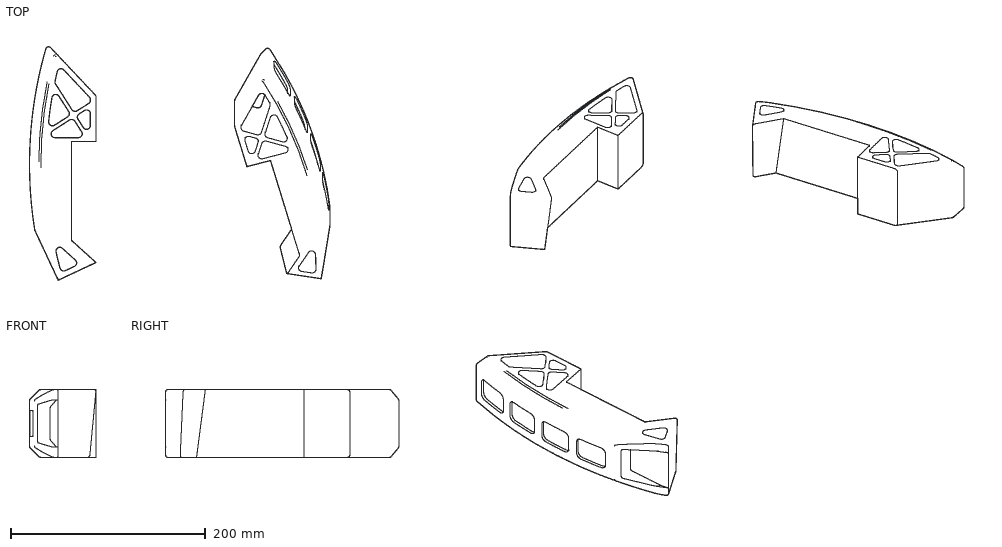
import cadquery as cq
import math

HEIGHT = 70.0
OUTER_RADIUS = 428.0
BOW_Y = 119.0
BACK_X = 68.41
GRIP_X = 43.3
BLOCK_BOTTOM_Y = 142.3
BLOCK_TOP_Y = 189.33
TOP_SLOPE = 46.7
GRIP_BOTTOM_Y = 41.0
FOOT_TIP_X = 29.5
FOOT_TILT = 25.1
FOOT_BACK_SLOPE = 42.2
FOOT_BACK_DRAFT = 5.5

CHAMFER = 10.5
EDGE_RADIUS = 3.0

HOLE_RADIUS = 3.8
BOW_WALL = 17.5
WALL = 6.0
BLOCK_FLOOR = 4.2
FOOT_BACK_WALL = 12.5
STRUT_WIDTH = 4.0
STRUT_CROSSING = (45.1, 169.2)
STRUT_ANGLE = 32.5

PAD_COUNT = 4
PAD_LENGTH = 34.7
PAD_HEIGHT = 27.0
PAD_RADIUS = 5.5
PAD_DEPTH = 3.0
PAD_PITCH = 6.0
PAD_LOWEST = -5.33

RECESS_TOP_X = 8.9
RECESS_TOP_Y = 45.0
RECESS_DEPTH_X = 12.4
RECESS_TOP_HALF = 19.6
RECESS_HALF = 24.2
RECESS_TOP_DRAFT = 9.0
RECESS_SIDE_DRAFT = 14.0
RECESS_SIDE_SPREAD = 14.3
RECESS_RADIUS = 2.7

FAR = 4 * BACK_X


def bow_x(y, inset=0.0):
    """X of the bowed face, moved inwards by inset, at level y."""
    radius = OUTER_RADIUS - inset
    return OUTER_RADIUS - math.sqrt(radius**2 - (y - BOW_Y) ** 2)


def bowed_block(inset, low_y, high_y, right_x):
    """Full-height block whose left face is the bow moved inwards by inset."""
    middle_y = (low_y + high_y) / 2
    return (
        cq.Workplane("XY")
        .moveTo(bow_x(high_y, inset), high_y)
        .threePointArc((bow_x(middle_y, inset), middle_y), (bow_x(low_y, inset), low_y))
        .lineTo(right_x, low_y)
        .lineTo(right_x, high_y)
        .close()
        .extrude(HEIGHT / 2, both=True)
    )


def right_side(point, angle, margin=0.0, lean=0.0):
    """Cutter on the right of the line through point along angle, grown to the left by margin.

    Its face pivots by lean about the line on the +Z side of the body.
    """
    return (
        cq.Workplane("XY")
        .box(2 * FAR, FAR, 4 * HEIGHT)
        .translate((0, margin - FAR / 2, -HEIGHT / 2))
        .rotate((0, 0, 0), (1, 0, 0), lean)
        .rotate((0, 0, 0), (0, 0, 1), angle)
        .translate((point[0], point[1], HEIGHT / 2))
    )


def top_cutter(margin=0.0):
    return right_side((BACK_X, BLOCK_TOP_Y), 180 - TOP_SLOPE, margin)


def sole_cutter(margin=0.0):
    return right_side((FOOT_TIP_X, 0), FOOT_TILT, margin)


def toe_cutter():
    return right_side((FOOT_TIP_X, 0), 270 + FOOT_TILT)


def foot_back_cutter(margin=0.0, lean=0.0):
    return right_side((GRIP_X, GRIP_BOTTOM_Y), 180 - FOOT_BACK_SLOPE, margin, lean)


def above_sole():
    """Slab standing on the sole, its two long sole edges rounded."""
    return (
        cq.Workplane("XY")
        .box(2 * FAR, 2 * FAR, HEIGHT)
        .faces("<Y")
        .edges("|X")
        .fillet(EDGE_RADIUS)
        .translate((0, FAR, 0))
        .rotate((0, 0, 0), (0, 0, 1), FOOT_TILT)
        .translate((FOOT_TIP_X, 0, 0))
    )


def make_body():
    """Bowed bar with bevelled, rounded front edges, trimmed at the top, sole, toe and back."""
    low_y = -BACK_X
    high_y = BLOCK_TOP_Y + BACK_X
    body = bowed_block(0, low_y, high_y, BACK_X)
    body = body.faces("%CYLINDER").edges("%CIRCLE").chamfer(CHAMFER)
    body = body.cut(top_cutter())
    front_edges = body.faces("%CONE").edges("%CIRCLE")
    top_edges = body.faces(">Y").edges("not >X")
    body = front_edges.add(top_edges).fillet(EDGE_RADIUS)
    body = body.intersect(above_sole()).cut(toe_cutter())

    behind_grip = (
        cq.Workplane("XY")
        .box(FAR, FAR, 2 * HEIGHT, centered=(False, False, True))
        .translate((GRIP_X, BLOCK_BOTTOM_Y - FAR, 0))
    )
    return body.cut(behind_grip.intersect(foot_back_cutter(lean=FOOT_BACK_DRAFT)))


def quadrant(turn):
    """Quarter between the crossing struts, counted in quarter turns from the upper one."""
    return (
        cq.Workplane("XY")
        .box(FAR, FAR, HEIGHT, centered=(False, False, True))
        .translate((STRUT_WIDTH / 2, STRUT_WIDTH / 2, 0))
        .rotate((0, 0, 0), (0, 0, 1), STRUT_ANGLE + 90 * turn)
        .translate((STRUT_CROSSING[0], STRUT_CROSSING[1], 0))
    )


def block_holes():
    """Four through holes in the upper block, parted by two crossing struts."""
    behind_bow = bowed_block(BOW_WALL, 0, BLOCK_TOP_Y + BACK_X, BACK_X)
    rear_wall = right_side((BACK_X, 0), 90, WALL)
    floor = right_side((0, BLOCK_BOTTOM_Y), 0, BLOCK_FLOOR)

    upper = quadrant(0).intersect(behind_bow).cut(top_cutter(WALL)).cut(rear_wall)
    front = quadrant(1).intersect(behind_bow)
    lower = quadrant(2).cut(floor)
    rear = quadrant(3).cut(rear_wall)
    holes = cq.Workplane("XY")
    for hole in (upper, front, lower, rear):
        holes = holes.add(hole.edges("|Z").fillet(HOLE_RADIUS))
    return holes.combine()


def foot_hole():
    hole = bowed_block(BOW_WALL, -BACK_X, BOW_Y, BACK_X)
    hole = hole.cut(sole_cutter(WALL)).cut(foot_back_cutter(FOOT_BACK_WALL))
    return hole.edges("|Z").fillet(HOLE_RADIUS)


def pads():
    """Shallow rounded pockets along the bowed face, with floors that follow it."""
    core = bowed_block(PAD_DEPTH, -BACK_X, BLOCK_TOP_Y + BACK_X, BACK_X)
    pad = cq.Workplane("XY").box(4 * PAD_DEPTH, PAD_LENGTH, PAD_HEIGHT).edges("|X").fillet(PAD_RADIUS)
    pad = pad.translate((0, BOW_Y, 0))
    row = cq.Workplane("XY")
    for index in range(PAD_COUNT):
        angle = PAD_LOWEST + index * PAD_PITCH
        row = row.add(pad.rotate((OUTER_RADIUS, BOW_Y, 0), (OUTER_RADIUS, BOW_Y, 1), -angle))
    return row.combine().cut(core)


def recess_section(x):
    """Corners, as (Y, Z), of the drafted trapezoid that shapes the toe recess at one X."""
    depth = x - RECESS_TOP_X
    top_y = RECESS_TOP_Y - depth * math.tan(math.radians(RECESS_TOP_DRAFT))
    spread = math.tan(math.radians(RECESS_SIDE_SPREAD))
    axis_half = RECESS_TOP_HALF + RECESS_TOP_Y * spread - depth * math.tan(math.radians(RECESS_SIDE_DRAFT))
    top_half = axis_half - top_y * spread
    return [(0, -axis_half), (top_y, -top_half), (top_y, top_half), (0, axis_half)]


def toe_recess():
    """Wedge-shaped recess in the toe face that runs out at the sole."""
    floor_x = RECESS_TOP_X + RECESS_DEPTH_X
    floor_y = RECESS_TOP_Y - RECESS_DEPTH_X * math.tan(math.radians(RECESS_TOP_DRAFT))
    funnel = (
        cq.Workplane("YZ")
        .polyline(recess_section(0))
        .close()
        .workplane(offset=FOOT_TIP_X)
        .polyline(recess_section(FOOT_TIP_X))
        .close()
        .loft(ruled=True)
    )
    funnel = funnel.faces(">Y").edges("not |Z").fillet(RECESS_RADIUS)
    floor_angle = 90 + math.degrees(math.atan2(FOOT_TIP_X - floor_x, floor_y))
    behind_floor = right_side((FOOT_TIP_X, 0), floor_angle)
    sides = cq.Workplane("XY").box(FAR, FAR, 2 * RECESS_HALF)
    return funnel.cut(behind_floor).intersect(sides)


result = make_body().cut(block_holes()).cut(foot_hole()).cut(pads()).cut(toe_recess())